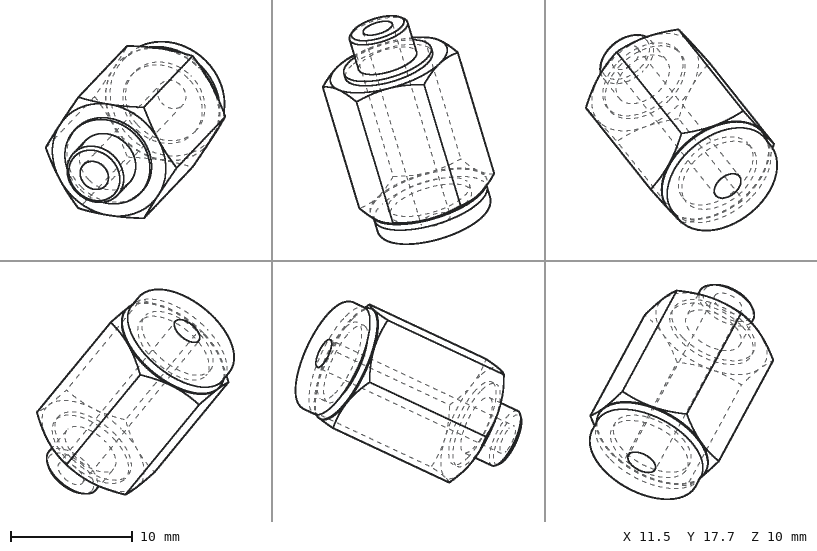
import cadquery as cq
import math

stud_diameter = 5.0
stud_length = 3.0
stud_chamfer = 0.25
collar_diameter = 7.5
collar_length = 0.4
hex_sides = 6
hex_across_flats = 10.0
hex_length = 12.1
hex_chamfer_angle = 30.0
rim_length = 0.1
neck_diameter = 7.0
neck_length = 0.6
cap_diameter = 9.7
cap_length = 1.5
cap_fillet = 0.5
bore_diameter = 2.5

stud_tip = -stud_length
hex_start = collar_length
hex_end = hex_start + hex_length
rim_end = hex_end + rim_length
cap_start = rim_end + neck_length
cap_end = cap_start + cap_length

hex_across_corners = hex_across_flats / math.cos(math.pi / hex_sides)


def plane_at(y):
    """Plane facing +Y, placed at the given station on the axis."""
    return cq.Workplane(cq.Plane(origin=(0, y, 0), xDir=(1, 0, 0), normal=(0, 1, 0)))


def cylinder(diameter, start, end):
    return plane_at(start).circle(diameter / 2).extrude(end - start)


def make_hex_body():
    """Hexagon with two corners in the XY plane, both ends turned to cones, and a short round rim at +Y."""
    prism = plane_at(hex_start).polygon(hex_sides, hex_across_corners).extrude(hex_length + rim_length)
    face_radius = hex_across_flats / 2
    corner_radius = hex_across_corners / 2
    cone_depth = (corner_radius - face_radius) * math.tan(math.radians(hex_chamfer_angle))
    envelope = (
        cq.Workplane("XY")
        .moveTo(0, hex_start)
        .lineTo(face_radius, hex_start)
        .lineTo(corner_radius, hex_start + cone_depth)
        .lineTo(corner_radius, hex_end - cone_depth)
        .lineTo(face_radius, hex_end)
        .lineTo(face_radius, rim_end)
        .lineTo(0, rim_end)
        .close()
        .revolve(360, (0, 0, 0), (0, 1, 0))
    )
    return prism.intersect(envelope)


def make_stud():
    return cylinder(stud_diameter, stud_tip, 0).faces("<Y").edges().chamfer(stud_chamfer)


def make_cap():
    return cylinder(cap_diameter, cap_start, cap_end).faces(">Y").edges().fillet(cap_fillet)


collar = cylinder(collar_diameter, 0, hex_start)
neck = cylinder(neck_diameter, rim_end, cap_start)
bore = cylinder(bore_diameter, stud_tip, cap_end)

result = make_stud().union(collar).union(make_hex_body()).union(neck).union(make_cap()).cut(bore)